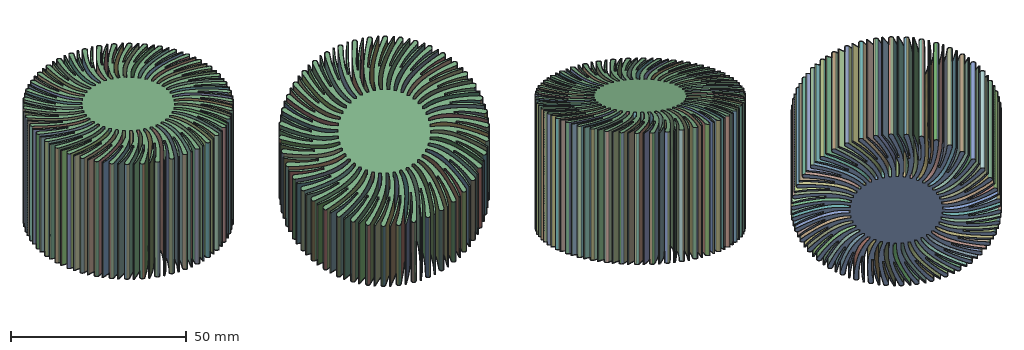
import cadquery as cq
import math


FIN_COUNT = 42
FIN_PITCH = 360 / FIN_COUNT
OUTER_RADIUS = 30.0
HEIGHT = 40.0

CORE_RADIUS = 13.15
FORK_RADIUS = 20.7

THICK_OUTER_EDGE = [(13.45, 11.0), (16.2, 10.89), (19.8, 9.02), (24.0, 5.76), (29.4, 1.48)]
THICK_INNER_EDGE = [(29.05, -1.38), (24.6, 2.38), (20.95, 5.15)]
THIN_INNER_EDGE = [(20.95, 3.9), (25.2, 0.26), (29.7, -4.25)]
THIN_OUTER_EDGE = [(29.7, -5.15), (27.0, -2.74), (24.0, -0.18), (19.8, 3.9), (16.2, 6.3), (13.45, 5.8)]

THICK_TIP = [(29.75, 1.06), (OUTER_RADIUS, 0.0), (29.7, -1.02)]
THIN_TIP = [(29.9, -4.42), (OUTER_RADIUS, -4.7), (29.9, -4.98)]

FORK_BOTTOM = (FORK_RADIUS, 4.6)
SLOT_BOTTOM = (CORE_RADIUS, FIN_PITCH / 2)


def polar_point(polar, turn):
    """Convert (radius, degrees), turned by some degrees, to (x, y)."""
    radius, degrees = polar
    angle = math.radians(degrees + turn)
    return (radius * math.cos(angle), radius * math.sin(angle))


def place(edge, turn):
    """Convert a list of polar points to (x, y) points."""
    return [polar_point(polar, turn) for polar in edge]


def add_fin(outline, turn):
    """Continue the outline clockwise around one fin and the wide slot after it."""
    thick_outer = place(THICK_OUTER_EDGE, turn)
    thick_inner = place(THICK_INNER_EDGE, turn)
    thin_inner = place(THIN_INNER_EDGE, turn)
    thin_outer = place(THIN_OUTER_EDGE, turn)
    thick_tip = place(THICK_TIP, turn)
    thin_tip = place(THIN_TIP, turn)
    next_fin_start = polar_point(THICK_OUTER_EDGE[0], turn - FIN_PITCH)
    return (
        outline.spline(thick_outer[1:], includeCurrent=True)
        .threePointArc(thick_tip[0], thick_tip[1])
        .threePointArc(thick_tip[2], thick_inner[0])
        .threePointArc(thick_inner[1], thick_inner[2])
        .threePointArc(polar_point(FORK_BOTTOM, turn), thin_inner[0])
        .threePointArc(thin_inner[1], thin_inner[2])
        .threePointArc(thin_tip[0], thin_tip[1])
        .threePointArc(thin_tip[2], thin_outer[0])
        .spline(thin_outer[1:], includeCurrent=True)
        .threePointArc(polar_point(SLOT_BOTTOM, turn), next_fin_start)
    )


outline = cq.Workplane("XY").moveTo(*polar_point(THICK_OUTER_EDGE[0], 0))
for fin in range(FIN_COUNT):
    outline = add_fin(outline, -fin * FIN_PITCH)

result = outline.close().extrude(HEIGHT)